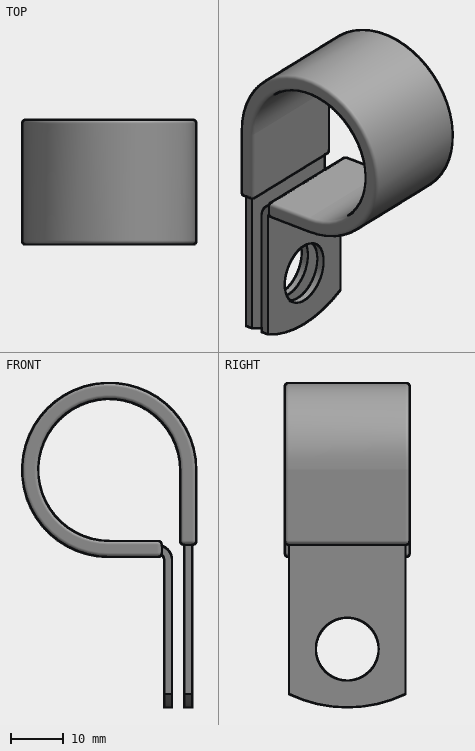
import cadquery as cq
import math

loop_outer_radius = 16.6
total_height = 61.81
cushion_width = 23.81

cushion_cover = 0.79
cushion_edge_radius = 0.75
strap_thickness = 1.54
strap_width = cushion_width - 2 * cushion_cover
strap_outer_radius = loop_outer_radius - cushion_cover
strap_inner_radius = strap_outer_radius - strap_thickness
loop_inner_radius = strap_inner_radius - cushion_cover

cushion_bottom_length = 10.0
cushion_side_length = 14.25

leg_gap = 2.28
bend_inner_radius = 1.4
bend_outer_radius = bend_inner_radius + strap_thickness
hole_diameter = 11.9
leg_end_radius = 25.4
leg_bottom = loop_outer_radius - total_height
hole_height = leg_bottom + strap_width / 2
bent_leg_outer_face = strap_inner_radius - leg_gap
bent_leg_inner_face = bent_leg_outer_face - strap_thickness
bend_center_x = bent_leg_inner_face - bend_inner_radius
bend_center_z = -strap_outer_radius - bend_inner_radius


def diagonal_point(radius, center_x=0, center_z=0, x_sign=1):
    """Point on a circle at 45 degrees above its center."""
    offset = radius * math.sqrt(0.5)
    return (center_x + x_sign * offset, center_z + offset)


def make_cushion():
    """Rubber cushion: three-quarter loop with two straight ends, all outer edges rounded."""
    cushion = (
        cq.Workplane("XZ")
        .moveTo(cushion_bottom_length, -loop_outer_radius)
        .lineTo(0, -loop_outer_radius)
        .threePointArc(diagonal_point(loop_outer_radius, x_sign=-1), (loop_outer_radius, 0))
        .lineTo(loop_outer_radius, -cushion_side_length)
        .lineTo(loop_inner_radius, -cushion_side_length)
        .lineTo(loop_inner_radius, 0)
        .threePointArc(diagonal_point(loop_inner_radius, x_sign=-1), (0, -loop_inner_radius))
        .lineTo(cushion_bottom_length, -loop_inner_radius)
        .close()
        .extrude(cushion_width / 2, both=True)
    )
    middle_radius = (loop_outer_radius + loop_inner_radius) / 2
    bottom_end = cq.selectors.NearestToPointSelector((cushion_bottom_length, 0, -middle_radius))
    side_end = cq.selectors.NearestToPointSelector((middle_radius, 0, -cushion_side_length))
    rounded_edges = (
        cushion.faces("<Y or >Y").edges()
        .add(cushion.faces(bottom_end).edges("|Y"))
        .add(cushion.faces(side_end).edges("|Y"))
    )
    return rounded_edges.fillet(cushion_edge_radius)


def make_strap():
    """Strap inside the cushion, ending in a bent leg and a straight leg."""
    return (
        cq.Workplane("XZ")
        .moveTo(0, -strap_outer_radius)
        .threePointArc(diagonal_point(strap_outer_radius, x_sign=-1), (strap_outer_radius, 0))
        .lineTo(strap_outer_radius, leg_bottom)
        .lineTo(strap_inner_radius, leg_bottom)
        .lineTo(strap_inner_radius, 0)
        .threePointArc(diagonal_point(strap_inner_radius, x_sign=-1), (0, -strap_inner_radius))
        .lineTo(bend_center_x, -strap_inner_radius)
        .threePointArc(
            diagonal_point(bend_outer_radius, bend_center_x, bend_center_z),
            (bent_leg_outer_face, bend_center_z),
        )
        .lineTo(bent_leg_outer_face, leg_bottom)
        .lineTo(bent_leg_inner_face, leg_bottom)
        .lineTo(bent_leg_inner_face, bend_center_z)
        .threePointArc(
            diagonal_point(bend_inner_radius, bend_center_x, bend_center_z),
            (bend_center_x, -strap_outer_radius),
        )
        .close()
        .extrude(strap_width / 2, both=True)
    )


def make_leg_outline():
    """Block across both legs that carries their curved lower end."""
    half_width = strap_width / 2
    arc_rise = leg_end_radius - math.sqrt(leg_end_radius**2 - half_width**2)
    return (
        cq.Workplane("YZ")
        .workplane(offset=-loop_outer_radius)
        .moveTo(-half_width, loop_outer_radius)
        .lineTo(-half_width, leg_bottom + arc_rise)
        .threePointArc((0, leg_bottom), (half_width, leg_bottom + arc_rise))
        .lineTo(half_width, loop_outer_radius)
        .close()
        .extrude(2 * loop_outer_radius)
    )


def make_bolt_hole():
    """Cylinder through both legs."""
    return (
        cq.Workplane("YZ")
        .center(0, hole_height)
        .circle(hole_diameter / 2)
        .extrude(loop_outer_radius)
    )


strap = make_strap().intersect(make_leg_outline()).cut(make_bolt_hole())
result = make_cushion().union(strap)